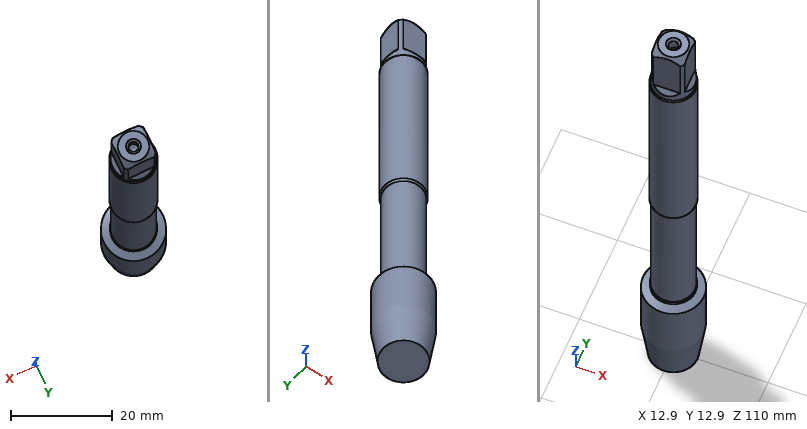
import cadquery as cq

TOTAL_LENGTH = 110.0
TAPER_TOP = 10.0
SHOULDER_BASE = 23.0
COLLAR_BASE = 23.8
HEAD_TOP = 24.4
NECK_TOP = 54.3
SHANK_BASE = 54.9
SHANK_TOP = 96.6
FLAT_BOTTOM = 98.9

TIP_DIAMETER = 10.2
HEAD_DIAMETER = 12.9
COLLAR_DIAMETER = 9.4
NECK_DIAMETER = 9.0
SHANK_DIAMETER = 9.6
DRIVE_DIAMETER = 9.0
DRIVE_TOP_DIAMETER = 6.2

SQUARE_WIDTH = 7.0
CENTRE_DIAMETER = 2.0
COUNTERSINK_DIAMETER = 3.0
CENTRE_DEPTH = 2.8
CENTRE_POINT_DEPTH = 0.5

DRIVE_RADIUS = DRIVE_DIAMETER / 2
SQUARE_HALF = SQUARE_WIDTH / 2
SHANK_TOP_CHAMFER = (SHANK_DIAMETER - DRIVE_DIAMETER) / 2
DRIVE_CHAMFER = (DRIVE_DIAMETER - DRIVE_TOP_DIAMETER) / 2
COUNTERSINK_DEPTH = (COUNTERSINK_DIAMETER - CENTRE_DIAMETER) / 2


def revolved(profile):
    """Turn (radius, height) points, closed along the Z axis, into a solid."""
    return cq.Workplane("XZ").polyline(profile).close().revolve(360, (0, 0, 0), (0, 1, 0))


def make_head():
    """Cutting head: tapered lead, cylinder, conical shoulder and short collar."""
    return revolved([
        (0, 0),
        (TIP_DIAMETER / 2, 0),
        (HEAD_DIAMETER / 2, TAPER_TOP),
        (HEAD_DIAMETER / 2, SHOULDER_BASE),
        (COLLAR_DIAMETER / 2, COLLAR_BASE),
        (COLLAR_DIAMETER / 2, HEAD_TOP),
        (0, HEAD_TOP),
    ])


def make_shank_blank():
    """Turned neck, shank and drive end before the flats are cut."""
    return revolved([
        (0, HEAD_TOP),
        (NECK_DIAMETER / 2, HEAD_TOP),
        (NECK_DIAMETER / 2, NECK_TOP),
        (SHANK_DIAMETER / 2, SHANK_BASE),
        (SHANK_DIAMETER / 2, SHANK_TOP - SHANK_TOP_CHAMFER),
        (DRIVE_RADIUS, SHANK_TOP),
        (DRIVE_RADIUS, TOTAL_LENGTH - DRIVE_CHAMFER),
        (DRIVE_TOP_DIAMETER / 2, TOTAL_LENGTH),
        (0, TOTAL_LENGTH),
    ])


def make_flat_cutter():
    """Cutter for one drive flat on the +X side, with a 45 degree run-out below it."""
    cut_depth = DRIVE_RADIUS - SQUARE_HALF
    return (
        cq.Workplane("XZ")
        .polyline([
            (SQUARE_HALF, FLAT_BOTTOM),
            (DRIVE_RADIUS, FLAT_BOTTOM - cut_depth),
            (DRIVE_RADIUS, TOTAL_LENGTH),
            (SQUARE_HALF, TOTAL_LENGTH),
        ])
        .close()
        .extrude(DRIVE_RADIUS, both=True)
    )


def make_centre_hole():
    """Countersunk centre hole with a conical bottom."""
    hole_bottom = TOTAL_LENGTH - CENTRE_DEPTH
    return revolved([
        (0, hole_bottom - CENTRE_POINT_DEPTH),
        (CENTRE_DIAMETER / 2, hole_bottom),
        (CENTRE_DIAMETER / 2, TOTAL_LENGTH - COUNTERSINK_DEPTH),
        (COUNTERSINK_DIAMETER / 2, TOTAL_LENGTH),
        (0, TOTAL_LENGTH),
    ])


def make_shank():
    """Shank with a square drive and a centre hole at its top end."""
    shank = make_shank_blank()
    for angle in (0, 90, 180, 270):
        shank = shank.cut(make_flat_cutter().rotate((0, 0, 0), (0, 0, 1), angle))
    return shank.cut(make_centre_hole())


head = make_head()
shank = make_shank()

result = cq.Compound.makeCompound([head.val(), shank.val()])